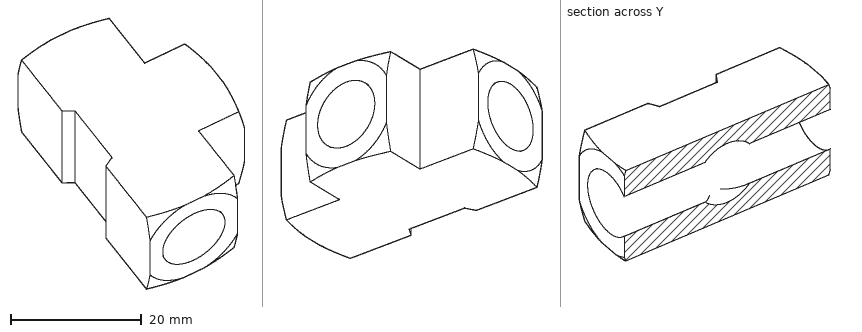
import cadquery as cq
import math

run_length = 38.6
body_width = 15.75
body_height = 17.4
branch_reach = 16.15
bore_diameter = 11.2

end_face_diameter = 17.75
bevel_angle = 20.0
corner_clearance = 0.4

notch_floor_width = 10.8
notch_depth = 1.7
notch_wall_angle = 60.0

half_run = run_length / 2
half_width = body_width / 2


def bar_end(length):
    """Half bar along +Z from the origin, with its outer corners bevelled by a cone."""
    bar = cq.Workplane("XY").rect(body_width, body_height).extrude(length)
    face_radius = end_face_diameter / 2
    corner_radius = math.hypot(body_width, body_height) / 2 + corner_clearance
    bevel_depth = (corner_radius - face_radius) * math.tan(math.radians(bevel_angle))
    envelope = (
        cq.Workplane("XZ")
        .moveTo(0, 0)
        .lineTo(corner_radius, 0)
        .lineTo(corner_radius, length - bevel_depth)
        .lineTo(face_radius, length)
        .lineTo(0, length)
        .close()
        .revolve(360, (0, 0, 0), (0, 1, 0))
    )
    return bar.intersect(envelope)


def bore(length):
    """Bore cutter along +Z from the origin."""
    return cq.Workplane("XY").circle(bore_diameter / 2).extrude(length)


def place(shape, direction_angle):
    """Turn a shape from +Z to the given angle from +X in the XY plane."""
    along_x = shape.rotate((0, 0, 0), (1, 0, 0), 90).rotate((0, 0, 0), (0, 0, 1), 90)
    return along_x.rotate((0, 0, 0), (0, 0, 1), direction_angle)


def notch():
    """Full-height notch whose side walls flare toward the outside."""
    half_floor = notch_floor_width / 2
    half_mouth = half_floor + notch_depth / math.tan(math.radians(notch_wall_angle))
    mouth_y = -half_width
    floor_y = mouth_y + notch_depth
    outline = [
        (-half_mouth, mouth_y),
        (half_mouth, mouth_y),
        (half_floor, floor_y),
        (-half_floor, floor_y),
    ]
    return cq.Workplane("XY").polyline(outline).close().extrude(body_height / 2, both=True)


ends = [(0, half_run), (180, half_run), (90, branch_reach)]

body = cq.Workplane("XY")
for angle, reach in ends:
    body = body.add(place(bar_end(reach), angle))
body = body.combine()

for angle, reach in ends:
    body = body.cut(place(bore(reach), angle))

result = body.cut(notch())